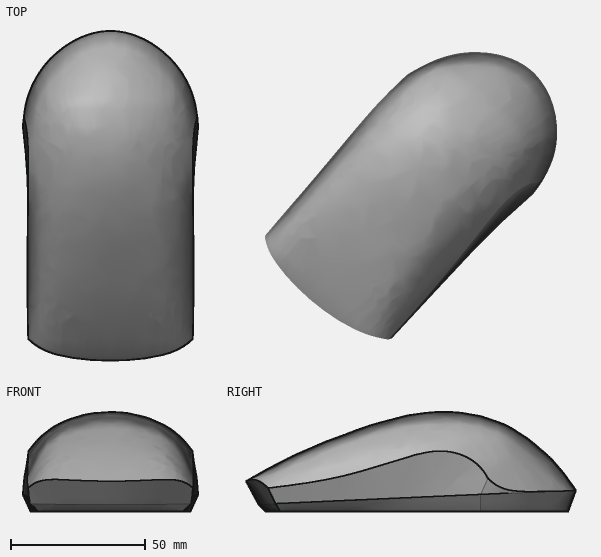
import cadquery as cq

WIDEST_Y = 26.0

SEAM_MID_HEIGHT = 5.3
SEAM_SLOPE = 0.045

BASE_REAR = [(0, 58.7), (14.2, 54.5), (19.7, 50.2), (25.7, 41.8), (28.7, 33.7), (29.8, WIDEST_Y)]
BASE_SIDE = [(29.8, WIDEST_Y), (28.9, 12.3), (27.9, -6.2), (27.1, -48.6)]
BASE_FRONT = [(27.1, -48.6), (21.5, -50.7), (0, -54.2)]

SEAM_REAR = [(0, 61.7), (15.1, 57.1), (20.9, 52.7), (27.9, 43.7), (31.4, 34.8), (32.7, WIDEST_Y)]
SEAM_SIDE = [(32.7, WIDEST_Y), (31.4, 12.3), (30.5, -6.2), (30.2, -50.5)]
SEAM_FRONT = [(30.2, -50.5), (23.4, -52.9), (0, -56.9)]

RIM_HEIGHT = 39.4
RIM_REAR = [(0, 80), (15.1, 75.1), (20.9, 70.1), (27.1, 60.3), (29.5, 50.5), (29.8, 40.6)]
RIM_SIDE = [(29.8, 40.6), (29.8, 27.1), (31.0, 0), (33.8, -67.7)]
RIM_FRONT = [(33.8, -67.7), (27.1, -72.2), (0, -76.2)]

CROWN_STATIONS = [
    (66.5, 1.8, 33.2, 0),
    (61.5, 8.1, 33.2, 0),
    (57.1, 14.3, 32, 0),
    (52.7, 19.5, 29.5, 2.5),
    (43.7, 27.2, 20.9, 13.5),
    (34.8, 32.6, 12.9, 17.2),
    (26.0, 35.7, 11.7, 12.3),
    (12.3, 37.3, 12.9, 6.2),
    (-5.2, 35.1, 10.5, 11.1),
    (-23.0, 29.4, 6.2, 16),
    (-40.0, 22.6, 3.3, 14.8),
    (-54.2, 15.5, 1.5, 9.2),
    (-61.5, 11.3, 1.0, 3.7),
    (-68.9, 7.1, 0.4, 0),
]
SECTION_HALF_WIDTH = 33.2
SECTION_STEPS = 6
SECTION_FLOOR = -49.2
SHOULDER_POWER = 6


def seam_height(y):
    return SEAM_MID_HEIGHT + SEAM_SLOPE * y


def base_height(_):
    return 0


def rim_height(_):
    return RIM_HEIGHT


def spline_edge(points, height):
    return cq.Edge.makeSpline([cq.Vector(x, y, height(y)) for x, y in points])


def mirrored(points):
    return [(-x, y) for x, y in reversed(points)]


def outline(rear, side, front, height):
    """Closed symmetric outline made from its right half."""
    whole_rear = mirrored(rear) + rear[1:]
    whole_front = front + mirrored(front)[1:]
    stretches = [whole_rear, side, whole_front, mirrored(side)]
    return cq.Wire.assembleEdges([spline_edge(points, height) for points in stretches])


def crown_section(y, crown, bow, shoulder):
    """Blank's cross section at y: a domed top over a deep rectangle."""
    top = []
    for step in range(-SECTION_STEPS, SECTION_STEPS + 1):
        across = step / SECTION_STEPS
        drop = bow * across**2 + shoulder * across**SHOULDER_POWER
        top.append(cq.Vector(across * SECTION_HALF_WIDTH, y, crown - drop))
    floor_left = cq.Vector(-SECTION_HALF_WIDTH, y, SECTION_FLOOR)
    floor_right = cq.Vector(SECTION_HALF_WIDTH, y, SECTION_FLOOR)
    return cq.Wire.assembleEdges([
        cq.Edge.makeSpline(top),
        cq.Edge.makeLine(top[-1], floor_right),
        cq.Edge.makeLine(floor_right, floor_left),
        cq.Edge.makeLine(floor_left, top[0]),
    ])


base = outline(BASE_REAR, BASE_SIDE, BASE_FRONT, base_height)
seam = outline(SEAM_REAR, SEAM_SIDE, SEAM_FRONT, seam_height)
rim = outline(RIM_REAR, RIM_SIDE, RIM_FRONT, rim_height)

walls = cq.Solid.makeLoft([base, seam, rim], True)

dome = cq.Solid.makeLoft([crown_section(*station) for station in CROWN_STATIONS])

result = cq.Workplane(walls).intersect(cq.Workplane(dome))